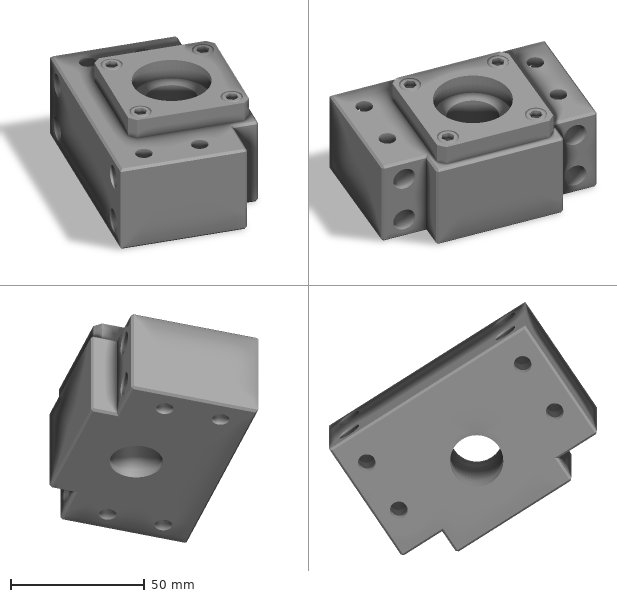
import cadquery as cq

block_width = 88.0
block_depth = 50.0
block_height = 35.0
housing_width = 52.0
overall_depth = 60.0
edge_chamfer = 0.9

overall_height = 43.0
plate_height = overall_height - block_height
plate_size = 47.5
plate_corner = 2.6
bearing_y = 34.0

bore_diameter = 20.0
recess_diameter = 30.0
recess_depth = plate_height

mount_spacing_x = 70.0
vertical_diameter = 6.6
vertical_spacing_y = 22.0
cross_diameter = 9.0
cross_low_z = 8.0
cross_spacing_z = 19.0

screw_spacing = 36.0
screw_seat_diameter = 8.4
screw_head_diameter = 7.8
screw_bevel = 0.4
socket_flats = 4.5
socket_depth = 2.5


def make_block():
    """T-shaped block with bevelled top, bottom and rear corner edges."""
    half_width = block_width / 2
    half_housing = housing_width / 2
    block = (
        cq.Workplane("XY")
        .moveTo(-half_width, 0)
        .lineTo(half_width, 0)
        .lineTo(half_width, block_depth)
        .lineTo(half_housing, block_depth)
        .lineTo(half_housing, overall_depth)
        .lineTo(-half_housing, overall_depth)
        .lineTo(-half_housing, block_depth)
        .lineTo(-half_width, block_depth)
        .close()
        .extrude(block_height)
    )
    outer_sides = block.faces("<X or >X").edges("|Z and >Y")
    rear_corners = block.faces(">Y").edges("|Z")
    return block.edges("<Z or >Z").add(outer_sides).add(rear_corners).chamfer(edge_chamfer)


def make_plate():
    """Square cover plate with cut corners."""
    return (
        cq.Workplane("XY", origin=(0, bearing_y, block_height))
        .rect(plate_size, plate_size)
        .extrude(plate_height)
        .edges("|Z")
        .chamfer(plate_corner)
    )


def bearing_plane(z):
    return cq.Workplane("XY", origin=(0, bearing_y, z))


def cut_bearing_bore(body):
    bore = bearing_plane(0).circle(bore_diameter / 2).extrude(overall_height)
    recess = bearing_plane(overall_height).circle(recess_diameter / 2).extrude(-recess_depth)
    return body.cut(bore).cut(recess)


def cut_mounting_holes(body):
    vertical = (
        cq.Workplane("XY", origin=(0, bearing_y - vertical_spacing_y / 2, 0))
        .rarray(mount_spacing_x, vertical_spacing_y, 2, 2)
        .circle(vertical_diameter / 2)
        .extrude(block_height)
    )
    cross = (
        cq.Workplane("XZ", origin=(0, 0, cross_low_z + cross_spacing_z / 2))
        .rarray(mount_spacing_x, cross_spacing_z, 2, 2)
        .circle(cross_diameter / 2)
        .extrude(-block_depth)
    )
    return body.cut(vertical).cut(cross)


def make_screw_recess():
    """Groove around the bevelled head of one flush screw, plus its hexagon socket."""
    seat_radius = screw_seat_diameter / 2
    head_radius = screw_head_diameter / 2
    groove = (
        cq.Workplane("XZ")
        .moveTo(head_radius - screw_bevel, 0)
        .lineTo(seat_radius, 0)
        .lineTo(seat_radius, -screw_bevel)
        .lineTo(head_radius, -screw_bevel)
        .close()
        .revolve(360, (0, 0), (0, 1))
    )
    socket = cq.Workplane("XY").polygon(6, socket_flats, circumscribed=True).extrude(-socket_depth)
    return groove.union(socket)


def cut_screws(body):
    """Four screws turned about the bearing axis, each socket turning along with its screw."""
    offset = screw_spacing / 2
    recess = make_screw_recess().translate((offset, -offset, 0))
    for angle in (0, 90, 180, 270):
        turned = recess.rotate((0, 0, 0), (0, 0, 1), angle)
        body = body.cut(turned.translate((0, bearing_y, overall_height)))
    return body


result = make_block().union(make_plate())
result = cut_bearing_bore(result)
result = cut_mounting_holes(result)
result = cut_screws(result)